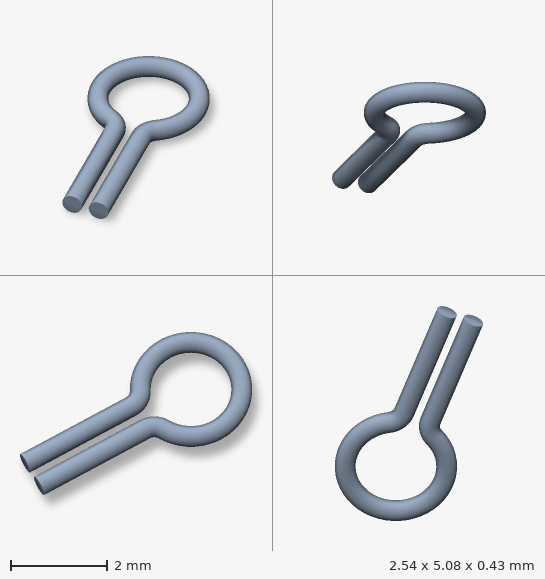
import cadquery as cq
import math

wire_diameter = 0.432
eye_outer_diameter = 2.54
leg_length = 2.54
eye_to_leg_drop = 1.27
leg_spacing = 0.584

wire_radius = wire_diameter / 2
eye_radius = eye_outer_diameter / 2 - wire_radius
leg_x = leg_spacing / 2
leg_top_y = -eye_to_leg_drop
leg_end_y = leg_top_y - leg_length

bend_radius = (leg_x**2 + eye_to_leg_drop**2 - eye_radius**2) / (2 * (eye_radius - leg_x))
bend_center_x = leg_x + bend_radius

joint_angle = math.atan2(bend_center_x, eye_to_leg_drop)
joint_x = eye_radius * math.sin(joint_angle)
joint_y = -eye_radius * math.cos(joint_angle)

bend_half_sweep = (math.pi / 2 - joint_angle) / 2
bend_mid_x = bend_center_x - bend_radius * math.cos(bend_half_sweep)
bend_mid_y = leg_top_y + bend_radius * math.sin(bend_half_sweep)


def make_centreline():
    """Left leg, left bend, eye, right bend, right leg."""
    return (
        cq.Workplane("XY")
        .moveTo(-leg_x, leg_end_y)
        .lineTo(-leg_x, leg_top_y)
        .threePointArc((-bend_mid_x, bend_mid_y), (-joint_x, joint_y))
        .threePointArc((0, eye_radius), (joint_x, joint_y))
        .threePointArc((bend_mid_x, bend_mid_y), (leg_x, leg_top_y))
        .lineTo(leg_x, leg_end_y)
    )


def make_wire():
    """Circular section swept along the centreline."""
    section = cq.Workplane("XZ", origin=(-leg_x, leg_end_y, 0)).circle(wire_radius)
    return section.sweep(make_centreline())


result = make_wire()